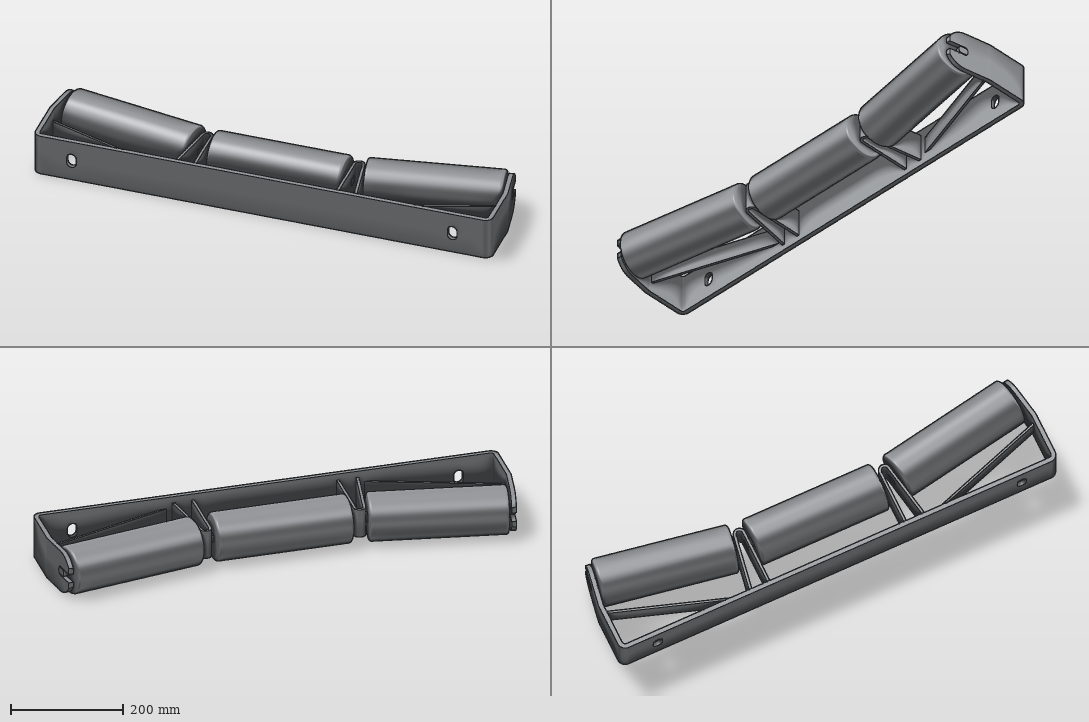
import cadquery as cq
import math

TILT = 10.0
SIN_TILT = math.sin(math.radians(TILT))
COS_TILT = math.cos(math.radians(TILT))

FRAME_LENGTH = 860.0
FRAME_WIDTH = 80.0
SHEET = 9.0
BEND_RADIUS = 15.0
WALL_HEIGHT = 95.0
MOUNT_HOLE_OFFSET = 358.0
MOUNT_HOLE_WIDTH = 18.0
MOUNT_HOLE_HEIGHT = 27.5

ROLLER_DIAMETER = 89.0
ROLLER_LENGTH = 250.0
ROLLER_EDGE_RADIUS = 5.0
CENTRE_ROLLER_HEIGHT = 101.5
SIDE_ROLLER_OFFSET = 284.0
SIDE_ROLLER_HEIGHT = 127.0

AXLE_DIAMETER = 20.0
AXLE_FLATS = 14.0
SLOT_WIDTH = 17.0
TIP_HEIGHT = 181.0
TIP_ROUND_DROP = 4.0

BRACKET_SHEET = 5.0
BRACKET_WIDTH = 55.0
BRACKET_RADIUS = 11.0
BRACKET_TOP = 127.0
BRACKET_INNER_FACE = 132.0

STRUT_SHEET = 4.0
STRUT_WIDTH = 34.0
STRUT_WALL_HEIGHT = 89.0
STRUT_FOOT = 183.0

HALF_LENGTH = FRAME_LENGTH / 2
CUT_DEPTH = 3 * SHEET
AXLE_RADIUS = AXLE_DIAMETER / 2
SIDE_AXIS = cq.Vector(COS_TILT, -SIN_TILT, 0)
SIDE_UP = cq.Vector(SIN_TILT, COS_TILT, 0)
SIDE_CENTRE = cq.Vector(-SIDE_ROLLER_OFFSET, SIDE_ROLLER_HEIGHT, 0)
BEND = cq.Vector(-HALF_LENGTH, WALL_HEIGHT, 0)

WALL_FACE = (BEND - SIDE_CENTRE).dot(SIDE_AXIS)

ARCH_X = -BRACKET_INNER_FACE - BRACKET_RADIUS
ARCH_Y = BRACKET_TOP - BRACKET_RADIUS
ARCH_CENTRE = cq.Vector(ARCH_X, ARCH_Y, 0)
LEG_FACE = (ARCH_CENTRE - SIDE_CENTRE).dot(SIDE_AXIS) - BRACKET_RADIUS


def mirrored(body):
    """The matching body on the +X side."""
    return body.mirror("YZ")


def axle_plane(position):
    """Plane across the left roller axis: local x is away from the base, local y is along Z."""
    return cq.Plane(SIDE_CENTRE + SIDE_AXIS * position, SIDE_UP, SIDE_AXIS)


def axle_section(plane):
    """Closed outline of the round axle with its two flats, ready to extrude."""
    half_flats = AXLE_FLATS / 2
    reach = math.sqrt(AXLE_RADIUS**2 - half_flats**2)
    return (
        cq.Workplane(plane)
        .moveTo(-reach, -half_flats)
        .lineTo(reach, -half_flats)
        .threePointArc((AXLE_RADIUS, 0), (reach, half_flats))
        .lineTo(-reach, half_flats)
        .threePointArc((-AXLE_RADIUS, 0), (-reach, -half_flats))
        .close()
    )


def make_roller(centre, up, axis, start, end):
    """Roller whose axle runs from start to end, measured along the axis from the centre."""
    barrel = (
        cq.Workplane(cq.Plane(centre - axis * (ROLLER_LENGTH / 2), up, axis))
        .circle(ROLLER_DIAMETER / 2)
        .extrude(ROLLER_LENGTH)
        .edges()
        .fillet(ROLLER_EDGE_RADIUS)
    )
    axle = axle_section(cq.Plane(centre + axis * start, up, axis)).extrude(end - start)
    return barrel.union(axle)


def wall_tip_trim():
    """Material removed to round the upper part of the end wall across its full width."""
    size = 2 * FRAME_WIDTH
    tip_round = cq.Workplane(axle_plane(WALL_FACE - SHEET)).center(-TIP_ROUND_DROP, 0)
    above = tip_round.center(size / 2, 0).rect(size, size).extrude(CUT_DEPTH)
    disc = tip_round.circle(FRAME_WIDTH / 2).extrude(CUT_DEPTH)
    return above.cut(disc)


def wall_slot():
    """Axle slot, open at the wall tip and rounded to the axle at its closed end."""
    half_width = SLOT_WIDTH / 2
    reach = math.sqrt(AXLE_RADIUS**2 - half_width**2)
    beyond_tip = TIP_HEIGHT - WALL_HEIGHT
    return (
        cq.Workplane(axle_plane(WALL_FACE - SHEET))
        .moveTo(beyond_tip, -half_width)
        .lineTo(-reach, -half_width)
        .threePointArc((-AXLE_RADIUS, 0), (-reach, half_width))
        .lineTo(beyond_tip, half_width)
        .close()
        .extrude(CUT_DEPTH)
    )


def make_frame():
    """Bent strip: base, two end walls and their inward-leaning slotted tips."""
    bend_inside_y = WALL_HEIGHT - SHEET * math.tan(math.radians(TILT / 2))
    tip_x = -HALF_LENGTH + (TIP_HEIGHT - WALL_HEIGHT) * SIN_TILT / COS_TILT
    left_half = (
        cq.Workplane("XY")
        .moveTo(0, 0)
        .lineTo(-HALF_LENGTH + BEND_RADIUS, 0)
        .radiusArc((-HALF_LENGTH, BEND_RADIUS), BEND_RADIUS)
        .lineTo(BEND.x, BEND.y)
        .lineTo(tip_x, TIP_HEIGHT)
        .lineTo(tip_x + SHEET / COS_TILT, TIP_HEIGHT)
        .lineTo(-HALF_LENGTH + SHEET, bend_inside_y)
        .lineTo(-HALF_LENGTH + SHEET, BEND_RADIUS)
        .radiusArc((-HALF_LENGTH + BEND_RADIUS, SHEET), -(BEND_RADIUS - SHEET))
        .lineTo(0, SHEET)
        .close()
        .extrude(FRAME_WIDTH / 2, both=True)
        .edges(cq.NearestToPointSelector((-HALF_LENGTH, WALL_HEIGHT, 0)))
        .fillet(BEND_RADIUS)
        .edges(cq.NearestToPointSelector((-HALF_LENGTH + SHEET, bend_inside_y, 0)))
        .fillet(BEND_RADIUS - SHEET)
        .cut(wall_tip_trim())
        .cut(wall_slot())
    )
    mount_holes = (
        cq.Workplane("XZ")
        .pushPoints([(-MOUNT_HOLE_OFFSET, 0), (MOUNT_HOLE_OFFSET, 0)])
        .slot2D(MOUNT_HOLE_HEIGHT, MOUNT_HOLE_WIDTH, 90)
        .extrude(-SHEET)
    )
    return left_half.union(mirrored(left_half)).cut(mount_holes)


def arch_points(radius):
    """Foot and tangent points of the arch at one radius, from the leaning leg to the upright leg."""
    lean_y = ARCH_Y + radius * SIN_TILT
    lean_x = ARCH_X - radius * COS_TILT
    foot_x = lean_x - (lean_y - SHEET) * SIN_TILT / COS_TILT
    return (foot_x, SHEET), (lean_x, lean_y), (ARCH_X, ARCH_Y + radius), (ARCH_X + radius, ARCH_Y)


def make_bracket():
    """Left bracket: an arch whose legs stand square to the centre and the outer roller axles."""
    outer_foot, outer_lean, outer_top, outer_upright = arch_points(BRACKET_RADIUS)
    inner_foot, inner_lean, inner_top, inner_upright = arch_points(BRACKET_RADIUS - BRACKET_SHEET)
    arch = (
        cq.Workplane("XY")
        .moveTo(*outer_foot)
        .lineTo(*outer_lean)
        .threePointArc(outer_top, outer_upright)
        .lineTo(outer_upright[0], SHEET)
        .lineTo(inner_upright[0], SHEET)
        .lineTo(*inner_upright)
        .threePointArc(inner_top, inner_lean)
        .lineTo(*inner_foot)
        .close()
        .extrude(BRACKET_WIDTH / 2, both=True)
    )
    side_hole = axle_section(axle_plane(LEG_FACE)).extrude(BRACKET_SHEET)
    centre_plane = cq.Plane(
        (-BRACKET_INNER_FACE - BRACKET_SHEET, CENTRE_ROLLER_HEIGHT, 0), (0, 1, 0), (1, 0, 0)
    )
    centre_hole = axle_section(centre_plane).extrude(BRACKET_SHEET)
    return arch.cut(side_hole).cut(centre_hole)


def make_strut():
    """Left flat strut from the end wall down to the base."""
    wall_x = -HALF_LENGTH + SHEET
    run = -STRUT_FOOT - wall_x
    drop = STRUT_WALL_HEIGHT - SHEET
    slope_length = math.hypot(run, drop)
    return (
        cq.Workplane("XY")
        .moveTo(wall_x, STRUT_WALL_HEIGHT)
        .lineTo(-STRUT_FOOT, SHEET)
        .lineTo(-STRUT_FOOT - STRUT_SHEET * slope_length / drop, SHEET)
        .lineTo(wall_x, STRUT_WALL_HEIGHT - STRUT_SHEET * slope_length / run)
        .close()
        .extrude(STRUT_WIDTH / 2, both=True)
    )


frame = make_frame()

centre_axle_end = BRACKET_INNER_FACE + BRACKET_SHEET
centre_roller = make_roller(
    cq.Vector(0, CENTRE_ROLLER_HEIGHT, 0),
    cq.Vector(0, 1, 0),
    cq.Vector(1, 0, 0),
    -centre_axle_end,
    centre_axle_end,
)
side_roller = make_roller(SIDE_CENTRE, SIDE_UP, SIDE_AXIS, WALL_FACE, LEG_FACE + BRACKET_SHEET)
bracket = make_bracket()
strut = make_strut()

bodies = [frame.solids().val(), centre_roller.solids().val()]
for left_body in (side_roller, bracket, strut):
    bodies.append(left_body.solids().val())
    bodies.append(mirrored(left_body).solids().val())

result = cq.Compound.makeCompound(bodies)